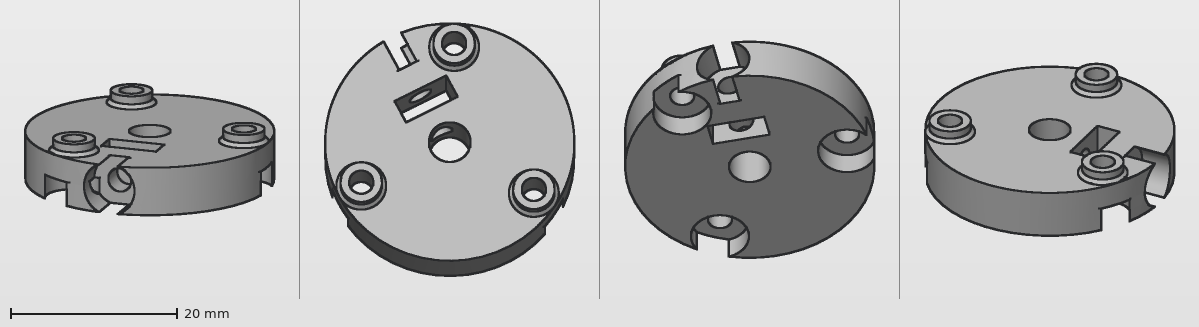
import cadquery as cq
import math

disc_diameter = 30
disc_height = 6
shaft_diameter = 5.0

post_count = 3
post_circle_radius = 12
post_height = 1.5
post_diameter = 5.0
post_base_diameter = 6
post_cone_height = (post_base_diameter - post_diameter) / 2
screw_diameter = 2.9
counterbore_diameter = 7.0
counterbore_depth = disc_height / 2

passage_height = disc_height / 2
passage_diameter = 2.9
mouth_diameter = 6.45
mouth_floor_radius = 10.9

nut_slot_length = 7.0
nut_slot_width = 3
nut_slot_center_radius = 6.15


def cylinder(diameter, height, x=0, y=0, z=0):
    return cq.Workplane("XY").center(x, y).circle(diameter / 2).extrude(height).translate((0, 0, z))


def post(x, y):
    cone = cq.Solid.makeCone(
        post_base_diameter / 2, post_diameter / 2, post_cone_height, cq.Vector(x, y, disc_height)
    )
    return cylinder(post_diameter, post_height, x, y, disc_height).union(cq.Workplane(obj=cone))


def radial_bore(diameter, inner_radius):
    """Horizontal bore from inner_radius out through the -Y rim."""
    length = disc_diameter / 2 - inner_radius
    bore = cq.Solid.makeCylinder(
        diameter / 2, length, cq.Vector(0, -inner_radius, passage_height), cq.Vector(0, -1, 0)
    )
    return cq.Workplane(obj=bore)


post_angles = [math.radians(i * 360 / post_count) for i in range(post_count)]
post_centers = [
    (post_circle_radius * math.cos(angle), post_circle_radius * math.sin(angle))
    for angle in post_angles
]

result = cylinder(disc_diameter, disc_height)
for x, y in post_centers:
    result = result.union(post(x, y))

for x, y in post_centers:
    result = result.cut(cylinder(screw_diameter, disc_height + post_height, x, y))
    result = result.cut(cylinder(counterbore_diameter, counterbore_depth, x, y))

result = result.cut(cylinder(shaft_diameter, disc_height))
result = result.cut(radial_bore(passage_diameter, 0))
result = result.cut(radial_bore(mouth_diameter, mouth_floor_radius))

nut_slot = (
    cq.Workplane("XY")
    .center(0, -nut_slot_center_radius)
    .rect(nut_slot_length, nut_slot_width)
    .extrude(disc_height)
)
result = result.cut(nut_slot)